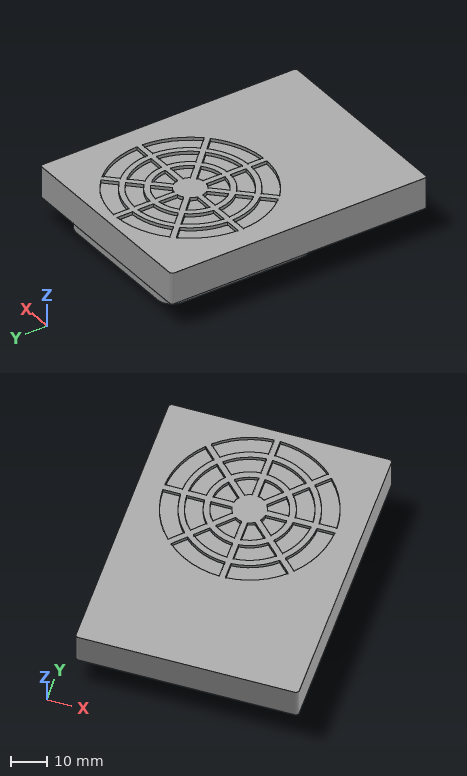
import cadquery as cq

plate_width = 65.0
plate_length = 85.7
plate_thickness = 10.3
plate_corner_radius = 1.0

total_height = 17.1
block_height = total_height - plate_thickness
block_side = 50.0
block_corner_radius = 5.0
block_edge_gap = 3.8
block_center_y = plate_length / 2 - block_edge_gap - block_side / 2

grille_center_y = 14.6
grille_depth = 1.0
groove_radii = [(5.0, 11.1), (12.95, 18.1), (19.9, 25.0)]
spoke_width = 1.8
spoke_bar_count = 4
spoke_bar_length = 2 * plate_width


def rounded_slab(width, length, height, corner_radius):
    """Slab standing on Z = 0 with rounded vertical edges."""
    slab = cq.Workplane("XY").box(width, length, height, centered=(True, True, False))
    return slab.edges("|Z").fillet(corner_radius)


def grille_pockets():
    """Ring grooves split into sectors by the spokes, standing on Z = 0."""
    pockets = cq.Workplane("XY")
    for inner_radius, outer_radius in groove_radii:
        groove = cq.Workplane("XY").circle(outer_radius).circle(inner_radius).extrude(grille_depth)
        pockets = pockets.add(groove)
    pockets = pockets.combine()
    for index in range(spoke_bar_count):
        bar = cq.Workplane("XY").box(
            spoke_bar_length, spoke_width, grille_depth, centered=(True, True, False)
        )
        angle = index * 180 / spoke_bar_count
        pockets = pockets.cut(bar.rotate((0, 0, 0), (0, 0, 1), angle))
    return pockets


plate = rounded_slab(plate_width, plate_length, plate_thickness, plate_corner_radius)
block = rounded_slab(block_side, block_side, block_height, block_corner_radius)
block = block.translate((0, block_center_y, -block_height))
pockets = grille_pockets().translate((0, grille_center_y, plate_thickness - grille_depth))

result = plate.union(block).cut(pockets)